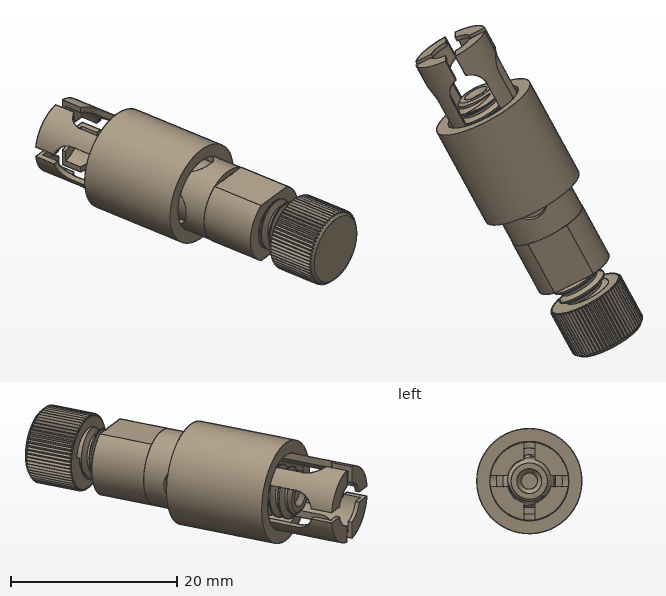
import cadquery as cq
import math

overall_length = 41.6
thread_diameter = 6.35
thread_root_diameter = 4.9
thread_pitch = thread_diameter / 5
fit_diameter = 7.95

sleeve_diameter = 12.7
sleeve_bore = 9.53
sleeve_start = 8.6
sleeve_length = 12.85

collet_diameter = 9.45
collet_length = 25.38
mouth_diameter = 5.32
lip_length = 0.5
slit_width = 1.35
window_width = 4.75
window_start = 2.65
window_end = 22.67

nut_diameter = 9.53
nut_flats = fit_diameter
nut_head_end = 32.35
shank_start = 12.5

screw_start = 6.65
groove_start = 6.82
groove_start_angle = 225
groove_turns = 22.4
groove_root_width = 0.3
groove_mouth_width = 1.1
tip_diameter = 4.35
socket_mouth_diameter = 3.0
socket_bottom_diameter = 1.95
socket_depth = 0.62
knob_diameter = 9.53
knob_start = 35.25
shank_end = 38.27
knob_front_chamfer = 0.2
knob_end_chamfer = 0.5
knurl_count = 63
knurl_depth = 0.25


def rod(diameter, start, end):
    """Solid cylinder on the X axis."""
    return cq.Workplane("YZ", origin=(start, 0, 0)).circle(diameter / 2).extrude(end - start)


def cone_frustum(start_diameter, end_diameter, start, end):
    """Cone frustum on the X axis."""
    profile = [(start, 0), (start, start_diameter / 2), (end, end_diameter / 2), (end, 0)]
    return cq.Workplane("XY").polyline(profile).close().revolve(360, (0, 0, 0), (1, 0, 0))


def make_sleeve():
    """Plain tube that slides over the collet."""
    end = sleeve_start + sleeve_length
    return rod(sleeve_diameter, sleeve_start, end).cut(rod(sleeve_bore, sleeve_start, end))


def collet_slot():
    """Keyhole slot cut straight through along Z: a slit at the tip opens into a long round-ended window."""
    window_middle = (window_start + window_end) / 2
    window = (
        cq.Workplane("XY")
        .center(window_middle, 0)
        .slot2D(window_end - window_start, window_width)
        .extrude(collet_diameter, both=True)
    )
    slit = cq.Workplane("XY").box(
        window_middle, slit_width, 2 * collet_diameter, centered=(False, True, True)
    )
    return window.union(slit)


def make_collet():
    """Tube split into four fingers by two crossed slots, with a thin inward lip at the tip."""
    body = rod(collet_diameter, 0, collet_length)
    body = body.cut(rod(mouth_diameter, 0, lip_length))
    body = body.cut(rod(fit_diameter, lip_length, collet_length))
    slot = collet_slot()
    for angle in (0, 90):
        body = body.cut(slot.rotate((0, 0, 0), (1, 0, 0), angle))
    return body


def make_nut():
    """Round head with two flats, and a bored shank seated in the collet."""
    head_length = nut_head_end - collet_length
    head = rod(nut_diameter, collet_length, nut_head_end)
    flats = cq.Workplane("XY").box(head_length, nut_diameter, nut_flats, centered=(False, True, True))
    head = head.intersect(flats.translate((collet_length, 0, 0)))
    shank = rod(fit_diameter, shank_start, collet_length)
    return head.union(shank).cut(rod(thread_diameter, shank_start, nut_head_end))


def thread_groove():
    """Helical thread groove around the X axis, from inside the tip chamfer to past the knob face."""
    overshoot = 0.1
    root_radius = thread_root_diameter / 2
    crest_radius = thread_diameter / 2
    flank_slope = (groove_mouth_width - groove_root_width) / 2 / (crest_radius - root_radius)
    half_root = groove_root_width / 2
    half_mouth = groove_mouth_width / 2 + overshoot * flank_slope
    height = groove_turns * thread_pitch
    path = cq.Wire.makeHelix(thread_pitch, height, root_radius)
    groove = (
        cq.Workplane("XZ")
        .polyline([
            (root_radius, -half_root),
            (crest_radius + overshoot, -half_mouth),
            (crest_radius + overshoot, half_mouth),
            (root_radius, half_root),
        ])
        .close()
        .sweep(cq.Workplane(obj=path), isFrenet=True)
    )
    groove = groove.rotate((0, 0, 0), (1, 1, 1), 120)
    groove = groove.rotate((0, 0, 0), (1, 0, 0), groove_start_angle)
    return groove.translate((groove_start, 0, 0))


def knurl_outline():
    """Corner points of the toothed knob section, valley first at the top, valley and crest in turn."""
    crest_radius = knob_diameter / 2
    valley_radius = crest_radius - knurl_depth
    half_tooth = math.pi / knurl_count
    points = []
    for corner in range(2 * knurl_count):
        radius = valley_radius if corner % 2 == 0 else crest_radius
        angle = math.pi / 2 + corner * half_tooth
        points.append((radius * math.cos(angle), radius * math.sin(angle)))
    return points


def make_knob():
    """Knurled knob whose two rims are chamfered."""
    knob_length = overall_length - knob_start
    teeth = cq.Workplane("YZ", origin=(knob_start, 0, 0)).polyline(knurl_outline()).close().extrude(knob_length)
    envelope = rod(knob_diameter, knob_start, overall_length)
    envelope = envelope.faces("<X").chamfer(knob_front_chamfer)
    envelope = envelope.faces(">X").chamfer(knob_end_chamfer)
    return teeth.intersect(envelope)


def make_screw():
    """Threaded shank with a chamfered tip and a conical socket, joined to a knurled knob."""
    tip_chamfer = (thread_diameter - tip_diameter) / 2
    blank = rod(thread_diameter, screw_start, shank_end).faces("<X").chamfer(tip_chamfer)
    socket_end = screw_start + socket_depth
    socket = cone_frustum(socket_mouth_diameter, socket_bottom_diameter, screw_start, socket_end)
    return blank.cut(thread_groove()).cut(socket).union(make_knob())


sleeve = make_sleeve()
collet = make_collet()
nut = make_nut()
screw = make_screw()

result = cq.Compound.makeCompound([sleeve.val(), collet.val(), nut.val(), screw.val()])